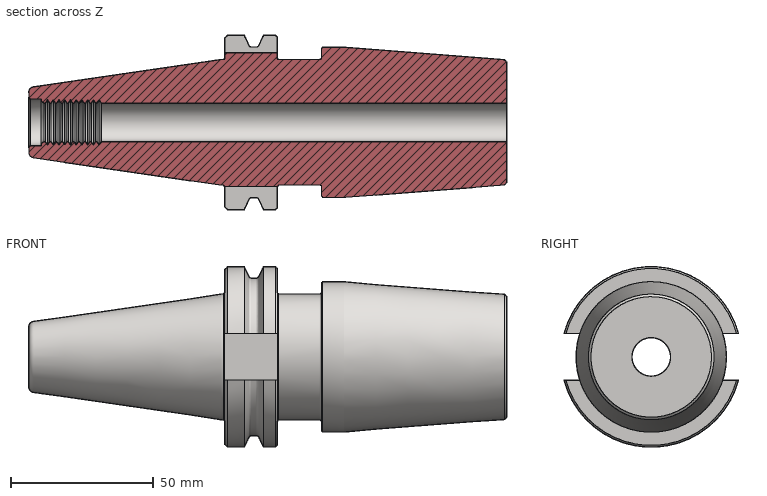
import cadquery as cq
import math

total_length = 168.2
full_turn = 360
axis_start = (0, 0, 0)
axis_end = (1, 0, 0)

taper_large_diameter = 44.5
taper_end_x = 68.0
taper_ratio = 7 / 24
nose_fillet = 2.0

flange_diameter = 63.6
flange_start_x = 69.0
flange_end_x = 87.5
flange_front_edge = 1.0
flange_rear_edge = 0.7
groove_center_x = 79.2
groove_floor_diameter = 55.5
groove_floor_width = 2.9
groove_top_width = 6.7
groove_root_fillet = 0.8

slot_width = 16.3
slot_floor_front = 22.5
slot_floor_back = 24.5

neck_diameter = 44.5
body_diameter = 53.0
body_start_x = 103.0
body_taper_start_x = 111.0
body_end_diameter = 44.0
body_edge_chamfer = 0.5
body_end_chamfer = 0.8
root_fillet = 0.5

bore_diameter = 13.5
mouth_diameter = 16.3
mouth_depth = 4.4
mouth_chamfer = 0.7
thread_diameter = 15.8
thread_pitch = 2.0
thread_crest = 0.5
thread_turns = 10
lead_in_diameter = 15.0
lead_in_length = 1.0


def cylinder(x_start, length, diameter):
    """Solid cylinder on the X axis."""
    return cq.Workplane("YZ", origin=(x_start, 0, 0)).circle(diameter / 2).extrude(length)


def make_taper():
    """Tapered shank with a rounded small end and a short cylinder up to the flange."""
    small_diameter = taper_large_diameter - taper_ratio * taper_end_x
    profile = (
        cq.Workplane("XY")
        .lineTo(0, small_diameter / 2)
        .lineTo(taper_end_x, taper_large_diameter / 2)
        .lineTo(flange_start_x, taper_large_diameter / 2)
        .lineTo(flange_start_x, 0)
        .close()
    )
    taper = profile.revolve(full_turn, axis_start, axis_end)
    return taper.faces("<X").edges().fillet(nose_fillet)


def make_groove():
    """V-shaped ring to cut from the flange rim, rounded along its floor."""
    half_floor = groove_floor_width / 2
    half_top = groove_top_width / 2
    groove = (
        cq.Workplane("XY")
        .moveTo(groove_center_x - half_floor, groove_floor_diameter / 2)
        .lineTo(groove_center_x + half_floor, groove_floor_diameter / 2)
        .lineTo(groove_center_x + half_top, flange_diameter / 2)
        .lineTo(groove_center_x - half_top, flange_diameter / 2)
        .close()
        .revolve(full_turn, axis_start, axis_end)
    )
    floor_edges = cq.selectors.RadiusNthSelector(0)
    return groove.edges(floor_edges).fillet(groove_root_fillet)


def make_slot(floor_distance, side):
    """Flat-bottomed drive slot; side is -1 or +1 along Y."""
    length = flange_end_x - flange_start_x
    depth = flange_diameter / 2 - floor_distance
    center = ((flange_start_x + flange_end_x) / 2, side * (floor_distance + depth / 2), 0)
    return cq.Workplane("XY", origin=center).box(length, depth, slot_width)


def make_flange():
    """Chamfered flange with the gripper groove and two drive slots of unequal depth."""
    flange = cylinder(flange_start_x, flange_end_x - flange_start_x, flange_diameter)
    flange = flange.faces("<X").edges().chamfer(flange_front_edge)
    flange = flange.faces(">X").edges().chamfer(flange_rear_edge)
    flange = flange.cut(make_groove())
    flange = flange.cut(make_slot(slot_floor_front, -1))
    return flange.cut(make_slot(slot_floor_back, 1))


def make_neck_and_body():
    """Cylindrical neck and the larger chuck body that narrows toward its free end."""
    neck = cylinder(flange_end_x, body_start_x - flange_end_x, neck_diameter)
    body = (
        cq.Workplane("XY")
        .moveTo(body_start_x, 0)
        .lineTo(body_start_x, body_diameter / 2)
        .lineTo(body_taper_start_x, body_diameter / 2)
        .lineTo(total_length, body_end_diameter / 2)
        .lineTo(total_length, 0)
        .close()
        .revolve(full_turn, axis_start, axis_end)
    )
    body = body.faces("<X").edges().chamfer(body_edge_chamfer)
    body = body.faces(">X").edges().chamfer(body_end_chamfer)
    return neck.union(body)


def make_root_fillet(wall_x, direction):
    """Concave fillet ring between the neck diameter and a wall at wall_x; direction points off the wall."""
    radius = neck_diameter / 2
    offset = direction * root_fillet
    bulge = root_fillet * (1 - math.sqrt(0.5))
    return (
        cq.Workplane("XY")
        .moveTo(wall_x, radius - root_fillet)
        .lineTo(wall_x, radius + root_fillet)
        .threePointArc(
            (wall_x + direction * bulge, radius + bulge),
            (wall_x + offset, radius),
        )
        .lineTo(wall_x + offset, radius - root_fillet)
        .close()
        .revolve(full_turn, axis_start, axis_end)
    )


def make_bore():
    """Through bore with a chamfered mouth, a conical lead-in and ring grooves for the pull-stud thread."""
    bore_radius = bore_diameter / 2
    thread_radius = thread_diameter / 2
    mouth_radius = mouth_diameter / 2
    thread_start_x = mouth_depth + lead_in_length
    profile = (
        cq.Workplane("XY")
        .lineTo(0, mouth_radius + mouth_chamfer)
        .lineTo(mouth_chamfer, mouth_radius)
        .lineTo(mouth_depth, mouth_radius)
        .lineTo(mouth_depth, lead_in_diameter / 2)
        .lineTo(thread_start_x, bore_radius)
    )
    for turn in range(thread_turns):
        turn_start_x = thread_start_x + turn * thread_pitch
        profile = (
            profile.lineTo(turn_start_x + thread_crest, bore_radius)
            .lineTo(turn_start_x + (thread_crest + thread_pitch) / 2, thread_radius)
            .lineTo(turn_start_x + thread_pitch, bore_radius)
        )
    profile = profile.lineTo(total_length, bore_radius).lineTo(total_length, 0).close()
    return profile.revolve(full_turn, axis_start, axis_end)


result = make_taper().union(make_flange()).union(make_neck_and_body())
for wall_x, direction in ((flange_start_x, -1), (flange_end_x, 1), (body_start_x, -1)):
    result = result.union(make_root_fillet(wall_x, direction))
result = result.cut(make_bore())